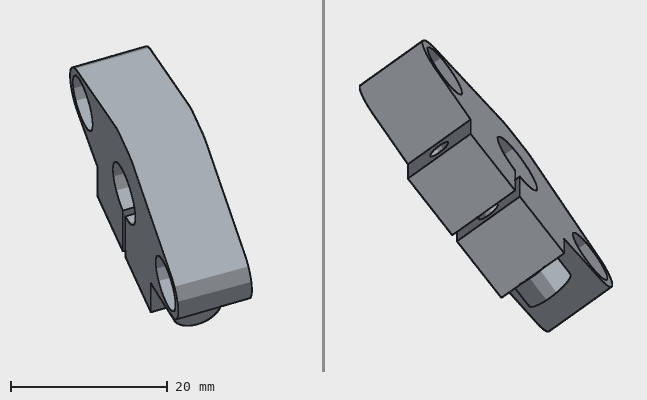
import cadquery as cq
import math

length = 40.55
thickness = 10.0
top_z = 10.3
body_height = 23.0
bottom_z = top_z - body_height
bore_diameter = 8.4
lug_hole_diameter = 7.4
lug_hole_x = 15.5
lug_radius = length / 2 - lug_hole_x
block_half_width = 9.98
block_top_z = -6.6
slot_width = 1.0

top_flat_half_width = 2.5
upper_slope = math.radians(22)
lower_slope = math.radians(18)
corner_radius = 4.0
corner_clearance = 0.4

screw_z = -9.7
head_diameter = 6.7
head_length = 3.6
shank_diameter = 3.0
shank_length = 16.0
shank_end_x = block_half_width - shank_length
open_hole_diameter = 2.9


def line_meets_lug(start_x, start_z, slope):
    """Point where a line rising at `slope` toward +X meets the outer side of the right lug."""
    direction_x, direction_z = math.cos(slope), math.sin(slope)
    to_lug_x, to_lug_z = lug_hole_x - start_x, -start_z
    along = to_lug_x * direction_x + to_lug_z * direction_z
    across = to_lug_x * direction_z - to_lug_z * direction_x
    reach = along + math.sqrt(lug_radius**2 - across**2)
    return start_x + reach * direction_x, start_z + reach * direction_z


def plate_outline():
    """Symmetric outline with round lug ends, extruded to the plate thickness."""
    upper_x, upper_z = line_meets_lug(top_flat_half_width, top_z, -upper_slope)
    lower_x, lower_z = line_meets_lug(block_half_width, block_top_z, lower_slope)
    return (
        cq.Workplane("XZ")
        .moveTo(-top_flat_half_width, top_z)
        .lineTo(top_flat_half_width, top_z)
        .lineTo(upper_x, upper_z)
        .threePointArc((length / 2, 0), (lower_x, lower_z))
        .lineTo(block_half_width, block_top_z)
        .lineTo(block_half_width, bottom_z)
        .lineTo(-block_half_width, bottom_z)
        .lineTo(-block_half_width, block_top_z)
        .lineTo(-lower_x, lower_z)
        .threePointArc((-length / 2, 0), (-upper_x, upper_z))
        .close()
        .extrude(thickness / 2, both=True)
    )


def round_corners(plate):
    """Round the two top corners and the four corners where the slopes meet the lugs."""
    all_corners = cq.selectors.ParallelDirSelector(cq.Vector(0, 1, 0))
    above_block = cq.selectors.BoxSelector(
        (-length, -thickness, block_top_z + corner_clearance),
        (length, thickness, top_z + corner_clearance),
    )
    return plate.edges(cq.selectors.AndSelector(all_corners, above_block)).fillet(corner_radius)


def cylinder_along_x(diameter, start_x, end_x):
    return (
        cq.Workplane("YZ", origin=(start_x, 0, screw_z))
        .circle(diameter / 2)
        .extrude(end_x - start_x)
    )


def make_clamp():
    bore = cq.Workplane("XZ").circle(bore_diameter / 2).extrude(thickness, both=True)
    lug_holes = (
        cq.Workplane("XZ")
        .pushPoints([(-lug_hole_x, 0), (lug_hole_x, 0)])
        .circle(lug_hole_diameter / 2)
        .extrude(thickness, both=True)
    )
    slot = cq.Workplane("XY").box(slot_width, thickness, -bottom_z, centered=(True, True, False))
    slot = slot.translate((0, 0, bottom_z))
    shank_hole = cylinder_along_x(shank_diameter, shank_end_x, block_half_width)
    open_hole = cylinder_along_x(open_hole_diameter, -block_half_width, shank_end_x)
    plate = round_corners(plate_outline())
    return plate.cut(bore).cut(lug_holes).cut(slot).cut(shank_hole).cut(open_hole)


def make_screw():
    """Shank ends inside the far jaw of the block; the head seats on the +X side."""
    shank = cylinder_along_x(shank_diameter, shank_end_x, block_half_width)
    head = cylinder_along_x(head_diameter, block_half_width, block_half_width + head_length)
    return shank.union(head)


clamp = make_clamp()
screw = make_screw()
result = cq.Compound.makeCompound([clamp.val(), screw.val()])